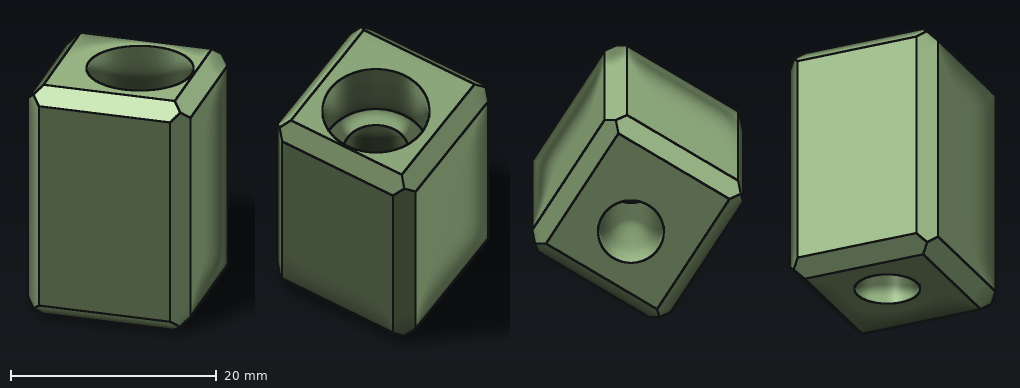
import cadquery as cq

width = 16.5
depth = 15.9
height = 24.5
edge_chamfer = 1.6

hole_offset_x = 1.25
bore_diameter = 6.4
counterbore_diameter = 10.41
counterbore_depth = 6.2


def chamfered_prism(axis):
    """Full-size block with only the four edges parallel to one axis chamfered."""
    return cq.Workplane("XY").box(width, depth, height).edges("|" + axis).chamfer(edge_chamfer)


block = chamfered_prism("X")
for axis in ("Y", "Z"):
    block = block.intersect(chamfered_prism(axis))

result = (
    block.faces(">Z")
    .workplane(origin=(0, 0, height / 2))
    .center(hole_offset_x, 0)
    .cboreHole(bore_diameter, counterbore_diameter, counterbore_depth)
)